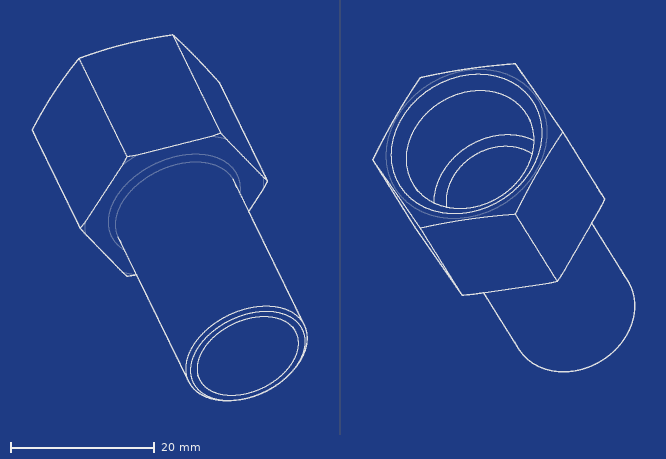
import cadquery as cq
import math

total_length = 52.0
hex_length = 21.0
across_flats = 24.0
across_corners = across_flats / math.cos(math.radians(30))
tube_diameter = 18.0

hex_chamfer_angle = 15.0
mouth_face_diameter = 23.5
shoulder_face_diameter = 26.4
neck_fillet = 0.8
tube_chamfer = 0.5

through_diameter = 15.0
socket_diameter = 18.6
socket_depth = 15.0
countersink_diameter = 22.0
countersink_angle = 45.0


def revolve_about_x(points):
    """Revolve a closed (x, radius) outline around the X axis."""
    return cq.Workplane("XY").polyline(points).close().revolve(360, (0, 0, 0), (1, 0, 0))


def chamfer_drop(face_diameter):
    """Axial depth of a hexagon end cone, measured at the corners."""
    radial_width = (across_corners - face_diameter) / 2
    return radial_width * math.tan(math.radians(hex_chamfer_angle))


def make_hex_body():
    """Hexagon with flats up and down, its corners trimmed by a cone at each end."""
    prism = cq.Workplane("YZ").polygon(6, across_corners).extrude(hex_length)
    envelope = revolve_about_x([
        (0, 0),
        (0, mouth_face_diameter / 2),
        (chamfer_drop(mouth_face_diameter), across_corners / 2),
        (hex_length - chamfer_drop(shoulder_face_diameter), across_corners / 2),
        (hex_length, shoulder_face_diameter / 2),
        (hex_length, 0),
    ])
    return prism.intersect(envelope)


def make_tube():
    """Plain round end with a chamfered tip and a concave fillet at the shoulder."""
    tube_radius = tube_diameter / 2
    fillet_end = hex_length + neck_fillet
    fillet_middle = (
        fillet_end - neck_fillet * math.sin(math.radians(45)),
        tube_radius + neck_fillet * (1 - math.cos(math.radians(45))),
    )
    return (
        cq.Workplane("XY")
        .moveTo(hex_length, 0)
        .lineTo(hex_length, tube_radius + neck_fillet)
        .threePointArc(fillet_middle, (fillet_end, tube_radius))
        .lineTo(total_length - tube_chamfer, tube_radius)
        .lineTo(total_length, tube_radius - tube_chamfer)
        .lineTo(total_length, 0)
        .close()
        .revolve(360, (0, 0, 0), (1, 0, 0))
    )


def make_passage():
    """Countersunk socket stepping down to the through bore."""
    countersink_width = (countersink_diameter - socket_diameter) / 2
    countersink_depth = countersink_width / math.tan(math.radians(countersink_angle))
    return revolve_about_x([
        (0, 0),
        (0, countersink_diameter / 2),
        (countersink_depth, socket_diameter / 2),
        (socket_depth, socket_diameter / 2),
        (socket_depth, through_diameter / 2),
        (total_length, through_diameter / 2),
        (total_length, 0),
    ])


result = make_hex_body().union(make_tube()).cut(make_passage())